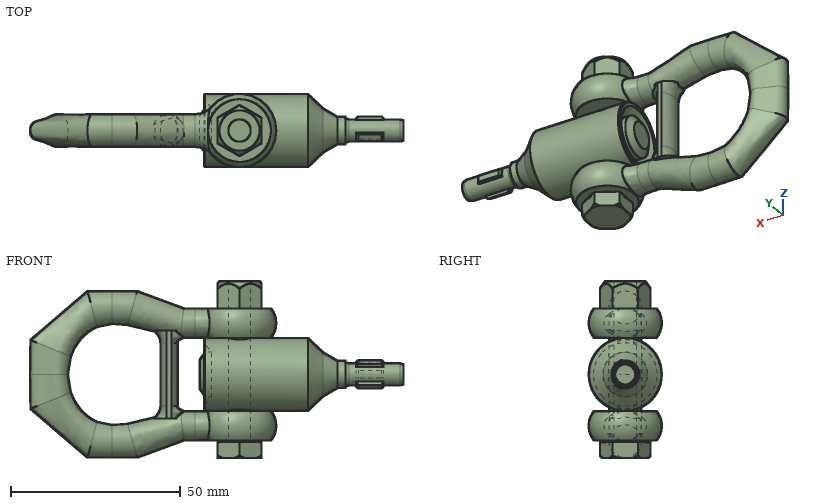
import cadquery as cq
import math


BOLT_RADIUS = 3.3
EYE_INNER_Z = 10.8
EYE_THICKNESS = 8.7
EYE_OUTER_Z = EYE_INNER_Z + EYE_THICKNESS

EYE_DIAMETER = 21.7
EYE_FLAT_RADIUS = 9.3

BAR_HALF_WIDTH = 4.9
BOW_END_X = -61.9
BOW_TOP_Z = 24.6
BOW_END_CORNER = (-61.7, 10.1)
BOW_TOP_CORNER = (-44.9, BOW_TOP_Z)
BOW_SHOULDER = (-30.2, BOW_TOP_Z)
ARM_CORNER = (-16.4, EYE_OUTER_Z)
OPENING_CENTER_X = -37.6
OPENING_RADIUS_X = 13.0
OPENING_RADIUS_Z = 14.9
END_CORNER_ANGLE = 21
TOP_CORNER_ANGLE = 70
OPENING_SHOULDER = (-33.1, 14.5)
ARM_INNER_CORNER = (-17.5, EYE_INNER_Z)
NECK_START_X = -13.1
NECK_MIDDLE_X = -10.9
NECK_END_X = -8.4
NECK_MIDDLE_HALF_WIDTH = 5.2
NECK_END_HALF_WIDTH = 6.7
NECK_END_INSET = 0.1

NOSE_SECTION = [(0, 0), (0.06, 0.42), (0.4, 0.73), (0.78, 0.99), (0.95, 0.65), (1, 0)]
ROUND_STEPS = 5
ROUND_SECTION = [
    ((1 - math.cos(math.pi * step / ROUND_STEPS)) / 2, math.sin(math.pi * step / ROUND_STEPS))
    for step in range(ROUND_STEPS + 1)
]

CROSSBAR_FRONT_X = -23.4
CROSSBAR_BACK_X = -18.2
CROSSBAR_EDGE_FRONT_X = -21.5
CROSSBAR_EDGE_BACK_X = -20.1
CROSSBAR_HALF_WIDTH = 4.7
FLARE_START_Z = 9.3
FLARE_RISES = (0, 0.8, 1.5, 2.6, 3.7)
FRONT_FLARE_RADIUS = 4.2
BACK_FLARE_RADIUS = 1.5

HEX_ACROSS_FLATS = 13.0
HEX_ACROSS_CORNERS = HEX_ACROSS_FLATS / math.cos(math.pi / 6)
NUT_HEIGHT = 8.0
NUT_TOP_RADIUS = 6.0
NUT_CHAMFER_HEIGHT = 2.2
HEAD_HEIGHT = 4.7
HEAD_END_RADIUS = 6.8
HEAD_CHAMFER_HEIGHT = 0.8
WASHER_FACE_RADIUS = 6.0
WASHER_FACE_HEIGHT = 0.4

HOUSING_RADIUS = EYE_INNER_Z
HOUSING_FRONT_X = -10.5
HOUSING_BACK_X = 20.2
HOUSING_CHAMFER = 0.3
RECESS_RADIUS = 9.4
RECESS_DEPTH = 2.2
BOSS_RADIUS = 6.6
BOSS_TIP_RADIUS = 4.3
BOSS_SHOULDER_X = -10.1
BOSS_TIP_X = -11.8
STEEP_CONE_END = (24.7, 6.5)
COLLAR_START_X = 28.9
COLLAR_END_X = 31.2
COLLAR_RADIUS = 4.1
SHAFT_START_X = 32.3
SHAFT_ROOT_RADIUS = 3.6
SHAFT_RADIUS = 3.3
SHAFT_END_X = 48.4
SHAFT_END_CHAMFER = (1.1, 0.3)
KEY_COUNT = 3
KEY_START_X = 34.4
KEY_END_X = 42.6
KEY_WIDTH = 2.2
KEY_TOP_RADIUS = 4.2
KEY_END_CHAMFER = 0.7


def opening_point(angle):
    """Point (X, Z) on the elliptical opening, with the angle measured from -X."""
    turn = math.radians(angle)
    return (
        OPENING_CENTER_X - OPENING_RADIUS_X * math.cos(turn),
        OPENING_RADIUS_Z * math.sin(turn),
    )


def midpoint(first, second):
    """Point halfway between two points."""
    return tuple((a + b) / 2 for a, b in zip(first, second))


def bow_section(outer, inner, shape, half_width=BAR_HALF_WIDTH):
    """Closed smooth cross section from an outer to an inner point (X, Z), symmetric about Y = 0."""
    dx = inner[0] - outer[0]
    dz = inner[1] - outer[1]
    depth = math.hypot(dx, dz)
    plane = cq.Plane((outer[0], 0, outer[1]), xDir=(dx, 0, dz), normal=(-dz, 0, dx))
    near_side = [(depth * along, -half_width * across) for along, across in shape]
    far_side = [(along, -across) for along, across in near_side[-2:0:-1]]
    outline = cq.Workplane(plane).spline(near_side + far_side, periodic=True)
    return cq.Wire.assembleEdges(outline.vals())


def neck_section(x, half_width, inset=0):
    """Upright section of the arm where it meets the eye."""
    outer = (x, EYE_OUTER_Z - inset)
    inner = (x, EYE_INNER_Z + inset)
    return bow_section(outer, inner, ROUND_SECTION, half_width)


def make_upper_bow():
    """Upper half of the bow: a chain of lofts from the plane Z = 0 to the eye."""
    end_inner = opening_point(END_CORNER_ANGLE)
    top_inner = opening_point(TOP_CORNER_ANGLE)
    slope_inner = opening_point((END_CORNER_ANGLE + TOP_CORNER_ANGLE) / 2)
    blend = [midpoint(*pair) for pair in zip(NOSE_SECTION, ROUND_SECTION)]
    slope_outer = midpoint(BOW_END_CORNER, BOW_TOP_CORNER)

    end = bow_section((BOW_END_X, 0), opening_point(0), NOSE_SECTION)
    end_corner = bow_section(BOW_END_CORNER, end_inner, NOSE_SECTION)
    slope = bow_section(slope_outer, slope_inner, blend)
    top_corner = bow_section(BOW_TOP_CORNER, top_inner, ROUND_SECTION)
    top = bow_section((OPENING_CENTER_X, BOW_TOP_Z), opening_point(90), ROUND_SECTION)
    shoulder = bow_section(BOW_SHOULDER, OPENING_SHOULDER, ROUND_SECTION)
    arm_corner = bow_section(ARM_CORNER, ARM_INNER_CORNER, ROUND_SECTION)
    neck_start = neck_section(NECK_START_X, BAR_HALF_WIDTH)
    neck_middle = neck_section(NECK_MIDDLE_X, NECK_MIDDLE_HALF_WIDTH)
    neck_end = neck_section(NECK_END_X, NECK_END_HALF_WIDTH, NECK_END_INSET)

    bow = cq.Workplane(cq.Solid.makeLoft([end, end_corner], True))
    bow = bow.union(cq.Workplane(cq.Solid.makeLoft([end_corner, slope, top_corner])))
    straight_chain = [top_corner, top, shoulder, arm_corner, neck_start]
    for start, finish in zip(straight_chain, straight_chain[1:]):
        bow = bow.union(cq.Workplane(cq.Solid.makeLoft([start, finish], True)))
    return bow.union(cq.Workplane(cq.Solid.makeLoft([neck_start, neck_middle, neck_end])))


def make_upper_eye():
    """Disc with a rounded rim around the bolt."""
    return (
        cq.Workplane("XZ")
        .moveTo(0, EYE_INNER_Z)
        .lineTo(EYE_FLAT_RADIUS, EYE_INNER_Z)
        .threePointArc(
            (EYE_DIAMETER / 2, EYE_INNER_Z + EYE_THICKNESS / 2), (EYE_FLAT_RADIUS, EYE_OUTER_Z)
        )
        .lineTo(0, EYE_OUTER_Z)
        .close()
        .revolve(360, (0, 0), (0, 1))
    )


def flare_reach(radius, rise):
    """How far a rounded inside corner stands out from the bar, at a rise from its start."""
    return radius - math.sqrt(radius**2 - min(rise, radius) ** 2)


def crossbar_section(rise):
    """Section bulged to the front and the back with flat side edges, at a rise into the flare."""
    front_x = CROSSBAR_FRONT_X - flare_reach(FRONT_FLARE_RADIUS, rise)
    back_x = CROSSBAR_BACK_X + flare_reach(BACK_FLARE_RADIUS, rise)
    return (
        cq.Workplane("XY", origin=(0, 0, FLARE_START_Z + rise))
        .moveTo(CROSSBAR_EDGE_FRONT_X, CROSSBAR_HALF_WIDTH)
        .threePointArc((front_x, 0), (CROSSBAR_EDGE_FRONT_X, -CROSSBAR_HALF_WIDTH))
        .lineTo(CROSSBAR_EDGE_BACK_X, -CROSSBAR_HALF_WIDTH)
        .threePointArc((back_x, 0), (CROSSBAR_EDGE_BACK_X, CROSSBAR_HALF_WIDTH))
        .close()
    )


def make_upper_flare():
    """Upper end of the crossbar, widening into the arm."""
    sections = [crossbar_section(rise).val() for rise in FLARE_RISES]
    return cq.Workplane(cq.Solid.makeLoft(sections))


def make_crossbar():
    """Straight middle stretch of the bar, between the two flares."""
    return crossbar_section(0).extrude(-2 * FLARE_START_Z)


def cut_bolt_hole(body):
    """Cut the hole that the bolt shank fills, through both eyes or through the housing."""
    shank_space = (
        cq.Workplane("XY", origin=(0, 0, -EYE_OUTER_Z)).circle(BOLT_RADIUS).extrude(2 * EYE_OUTER_Z)
    )
    return body.cut(shank_space)


def make_link():
    """Bow, crossbar and both eyes, symmetric about Z = 0."""
    upper_half = make_upper_bow().union(make_upper_flare()).union(make_upper_eye())
    lower_half = upper_half.mirror("XY")
    return cut_bolt_hole(upper_half.union(make_crossbar()).union(lower_half))


def hexagon(bottom_z, height):
    """Hexagonal prism with flats facing +X and -X."""
    return (
        cq.Workplane("XY", origin=(0, 0, bottom_z))
        .polygon(6, HEX_ACROSS_CORNERS)
        .extrude(height)
        .rotate((0, 0, 0), (0, 0, 1), 30)
    )


def chamfered_hexagon(base_z, height, end_radius, chamfer_height):
    """Hexagonal prism up from base_z, its corners cut by a cone at the top end."""
    corner_radius = HEX_ACROSS_CORNERS / 2
    top_z = base_z + height
    envelope = (
        cq.Workplane("XZ")
        .moveTo(0, base_z)
        .lineTo(corner_radius, base_z)
        .lineTo(corner_radius, top_z - chamfer_height)
        .lineTo(end_radius, top_z)
        .lineTo(0, top_z)
        .close()
        .revolve(360, (0, 0), (0, 1))
    )
    return hexagon(base_z, height).intersect(envelope)


def make_nut():
    """Nut on the upper eye, chamfered at its top."""
    nut = chamfered_hexagon(EYE_OUTER_Z, NUT_HEIGHT, NUT_TOP_RADIUS, NUT_CHAMFER_HEIGHT)
    hole = cq.Workplane("XY", origin=(0, 0, EYE_OUTER_Z)).circle(BOLT_RADIUS).extrude(NUT_HEIGHT)
    return nut.cut(hole)


def make_bolt():
    """Bolt with its head below the lower eye and its end flush with the nut."""
    head_base = EYE_OUTER_Z + WASHER_FACE_HEIGHT
    head = chamfered_hexagon(head_base, HEAD_HEIGHT, HEAD_END_RADIUS, HEAD_CHAMFER_HEIGHT)
    washer_face = (
        cq.Workplane("XY", origin=(0, 0, -head_base))
        .circle(WASHER_FACE_RADIUS)
        .extrude(WASHER_FACE_HEIGHT)
    )
    shank_length = head_base + EYE_OUTER_Z + NUT_HEIGHT
    shank = cq.Workplane("XY", origin=(0, 0, -head_base)).circle(BOLT_RADIUS).extrude(shank_length)
    return head.mirror("XY").union(washer_face).union(shank)


def make_keys():
    """Keys spaced around the shaft, the first one on the +Y side, with sloping ends."""
    key = (
        cq.Workplane("XY", origin=(0, 0, -KEY_WIDTH / 2))
        .moveTo(KEY_START_X, 0)
        .lineTo(KEY_START_X, KEY_TOP_RADIUS - KEY_END_CHAMFER)
        .lineTo(KEY_START_X + KEY_END_CHAMFER, KEY_TOP_RADIUS)
        .lineTo(KEY_END_X - KEY_END_CHAMFER, KEY_TOP_RADIUS)
        .lineTo(KEY_END_X, KEY_TOP_RADIUS - KEY_END_CHAMFER)
        .lineTo(KEY_END_X, 0)
        .close()
        .extrude(KEY_WIDTH)
    )
    return [
        key.rotate((0, 0, 0), (1, 0, 0), index * 360 / KEY_COUNT) for index in range(KEY_COUNT)
    ]


def make_swivel():
    """Housing and shaft turned about X, with a boss in the recessed front face."""
    end_length, end_drop = SHAFT_END_CHAMFER
    swivel = (
        cq.Workplane("XY")
        .moveTo(BOSS_TIP_X, 0)
        .lineTo(BOSS_TIP_X, BOSS_TIP_RADIUS)
        .lineTo(BOSS_SHOULDER_X, BOSS_RADIUS)
        .lineTo(HOUSING_FRONT_X + RECESS_DEPTH, BOSS_RADIUS)
        .lineTo(HOUSING_FRONT_X, RECESS_RADIUS)
        .lineTo(HOUSING_FRONT_X, HOUSING_RADIUS - HOUSING_CHAMFER)
        .lineTo(HOUSING_FRONT_X + HOUSING_CHAMFER, HOUSING_RADIUS)
        .lineTo(HOUSING_BACK_X, HOUSING_RADIUS)
        .lineTo(*STEEP_CONE_END)
        .lineTo(COLLAR_START_X, COLLAR_RADIUS)
        .lineTo(COLLAR_END_X, COLLAR_RADIUS)
        .lineTo(COLLAR_END_X, SHAFT_ROOT_RADIUS)
        .lineTo(SHAFT_START_X, SHAFT_RADIUS)
        .lineTo(SHAFT_END_X - end_length, SHAFT_RADIUS)
        .lineTo(SHAFT_END_X, SHAFT_RADIUS - end_drop)
        .lineTo(SHAFT_END_X, 0)
        .close()
        .revolve(360, (0, 0), (1, 0))
    )
    for key in make_keys():
        swivel = swivel.union(key)
    return cut_bolt_hole(swivel)


link = make_link()
bolt = make_bolt()
nut = make_nut()
swivel = make_swivel()

result = cq.Compound.makeCompound([link.val(), bolt.val(), nut.val(), swivel.val()])